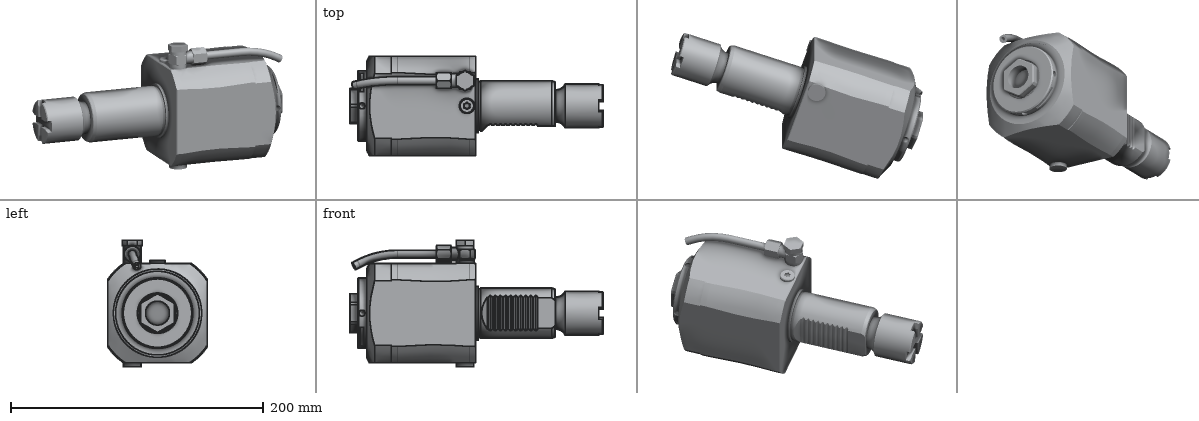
import cadquery as cq
import math


block_half = 39.5
block_front = -86.6
block_rear_chamfer = 0.6
nose_face_radius = 35.0
nose_recess_radius = 33.2
nose_recess_depth = 0.3
nose_cone_end = -80.3
front_band_radius = 47.0
front_band_end = -67.0
corner_radius = 47.5
waist_start = -62.2
waist_end = -5.4
waist_radius = 46.8

collar_front = -93.7
collar_radius = 28.0
collar_chamfer = 0.9
collar_middle = -90.2
pin_hole_diameter = 4.8
pin_hole_depth = 1.5
pin_hole_tip = 2.4
collar_flat_distance = 26.0
collar_flat_width = 2.6

shank_radius = 20.0
shank_length = 63.0
shank_chamfer_length = 3.0
shank_chamfer_depth = 0.9
shank_edge_chamfer = 0.5
seat_ring_radius = 21.5
seat_ring_length = 1.9
undercut_radius = 19.5
undercut_end = 3.9
rack_flat_distance = 16.0
rack_crest_distance = 15.5
rack_ramp_start = 4.7
rack_end = 49.0
groove_count = 10
groove_pitch = 4.0
groove_first = 11.5
groove_depth = 1.3
groove_half_width = 1.5

spindle_front = -100.0
hex_across_flats = 28.0
hex_chamfer = 0.6
hex_corner_diameter = 31.0
shoulder_recess = 0.5
shoulder_length = 1.0
journal_radius = 16.0
socket_diameter = 19.0
socket_depth = 10.0
shaft_radius = 12.8
flare_start = 63.6
coupling_start = 70.9
coupling_radius = 17.5
coupling_end = 101.0
coupling_chamfer = 0.7
slot_width = 6.5
slot_mouth_width = 10.0
slot_flare_radius = 12.0
slot_depth = 3.5

fitting_x = -8.6
fitting_y = 20.0
fitting_diameter = 14.0
fitting_across_flats = 14.0
bolt_head_bottom = 53.4
bolt_head_top = 57.9
pipe_z = 46.8
banjo_hex_height = 7.6
banjo_chamfer = 0.7
outlet_diameter = 10.6
nut_rear = -19.6
nut_front = -31.3
nut_across_flats = 12.4
nut_chamfer = 0.8
pipe_diameter = 6.3
pipe_bend_start = -62.2
pipe_bend_radius = 62.0
pipe_bend_angle = 30.0
pipe_tip_length = 4.0
pipe_tip_bore = 3.0
pipe_tilt = 21.7
plug_height = 3.0
screw_x = -7.1
screw_diameter = 12.0
screw_height = 2.5
screw_chamfer = 0.6
screw_socket_diameter = 4.2
screw_lobe_diameter = 1.3
screw_socket_depth = 1.8


def hex_corners(across_flats):
    """Diameter of the circle through the corners of a hexagon."""
    return across_flats / math.cos(math.pi / 6)


def chamfered_hexagon(plane, turn, across_flats, length, chamfer):
    """Hexagon bar on the given plane, turned by an angle, with its corners turned off at both ends."""
    corners = hex_corners(across_flats)
    hexagon = plane.transformed(rotate=(0, 0, turn)).polygon(6, corners).extrude(length)
    turned = plane.circle(corners / 2).extrude(length).edges("%CIRCLE").chamfer(chamfer)
    return hexagon.intersect(turned)


def cylinder_x(radius, start, end):
    return cq.Workplane("YZ", origin=(start, 0, 0)).circle(radius).extrude(end - start)


def revolve_x(profile):
    return profile.close().revolve(360, (0, 0, 0), (1, 0, 0))


def make_block():
    """Square block whose corners are turned to a slightly waisted body of revolution."""
    turned = revolve_x(
        cq.Workplane("XY")
        .moveTo(block_front, 0)
        .lineTo(block_front, nose_face_radius)
        .lineTo(nose_cone_end, front_band_radius)
        .lineTo(front_band_end, front_band_radius)
        .lineTo(front_band_end, corner_radius)
        .lineTo(waist_start, corner_radius)
        .threePointArc(((waist_start + waist_end) / 2, waist_radius), (waist_end, corner_radius))
        .lineTo(0, corner_radius)
        .lineTo(0, 0)
    )
    square = (
        cq.Workplane("YZ", origin=(block_front, 0, 0))
        .rect(2 * block_half, 2 * block_half)
        .extrude(-block_front)
        .faces(">X")
        .chamfer(block_rear_chamfer)
    )
    recess = cylinder_x(nose_recess_radius, block_front, block_front + nose_recess_depth)
    return turned.intersect(square).cut(recess)


def make_collar():
    """Ring at the nose with four pin holes and two opposite spanner flats."""
    collar = cylinder_x(collar_radius, collar_front, block_front + nose_recess_depth)
    collar = collar.faces("<X").edges().chamfer(collar_chamfer)
    hole_radius = pin_hole_diameter / 2
    hole = (
        cq.Workplane("XZ")
        .moveTo(0, collar_radius - pin_hole_depth - pin_hole_tip)
        .lineTo(hole_radius, collar_radius - pin_hole_depth)
        .lineTo(hole_radius, collar_radius + pin_hole_depth)
        .lineTo(0, collar_radius + pin_hole_depth)
        .close()
        .revolve(360, (0, 0, 0), (0, 1, 0))
        .translate((collar_middle, 0, 0))
    )
    for turn in range(4):
        collar = collar.cut(hole.rotate((0, 0, 0), (1, 0, 0), 90 * turn))
    flat = cq.Workplane("XY", origin=(collar_middle, 0, collar_flat_distance)).box(
        collar_flat_width, 2 * collar_radius, collar_radius, centered=(True, True, False)
    )
    for angle in (-45, 135):
        collar = collar.cut(flat.rotate((0, 0, 0), (1, 0, 0), angle))
    return collar


def make_shank():
    """Round shank with a seating ring, an undercut and a toothed clamping flat on the -Y side."""
    tip_radius = shank_radius - shank_chamfer_depth
    shank = revolve_x(
        cq.Workplane("XY")
        .moveTo(0, 0)
        .lineTo(0, seat_ring_radius)
        .lineTo(seat_ring_length, seat_ring_radius)
        .lineTo(seat_ring_length, undercut_radius)
        .lineTo(undercut_end, undercut_radius)
        .lineTo(undercut_end, shank_radius)
        .lineTo(shank_length - shank_chamfer_length, shank_radius)
        .lineTo(shank_length - shank_edge_chamfer, tip_radius)
        .lineTo(shank_length, tip_radius - shank_edge_chamfer)
        .lineTo(shank_length, 0)
    )
    ramp_end = rack_ramp_start + shank_radius - rack_crest_distance
    flat = (
        cq.Workplane("XY", origin=(0, 0, -shank_radius))
        .moveTo(rack_ramp_start, -shank_radius)
        .lineTo(ramp_end, -rack_crest_distance)
        .lineTo(rack_end, -rack_crest_distance)
        .lineTo(rack_end, -rack_flat_distance)
        .lineTo(shank_length, -rack_flat_distance)
        .lineTo(shank_length, -shank_radius)
        .close()
        .extrude(2 * shank_radius)
    )
    shank = shank.cut(flat)
    for index in range(groove_count):
        middle = groove_first + groove_pitch * index
        groove = (
            cq.Workplane("XY", origin=(middle, -rack_crest_distance, -shank_radius))
            .moveTo(-groove_half_width, 0)
            .lineTo(0, groove_depth)
            .lineTo(groove_half_width, 0)
            .close()
            .extrude(2 * shank_radius)
        )
        shank = shank.cut(groove)
    return shank


def make_coolant_fitting():
    """Banjo body with its hexagon bolt, standing on the block, and its outlet toward -X."""
    post = (
        cq.Workplane("XY", origin=(fitting_x, fitting_y, block_half))
        .circle(fitting_diameter / 2)
        .extrude(bolt_head_bottom - block_half)
    )
    head = (
        cq.Workplane("XY", origin=(fitting_x, fitting_y, bolt_head_bottom))
        .transformed(rotate=(0, 0, 90))
        .polygon(6, hex_corners(fitting_across_flats))
        .extrude(bolt_head_top - bolt_head_bottom)
    )
    banjo_plane = cq.Workplane("XY", origin=(fitting_x, fitting_y, pipe_z - banjo_hex_height / 2))
    banjo = chamfered_hexagon(banjo_plane, 0, fitting_across_flats, banjo_hex_height, banjo_chamfer)
    outlet = (
        cq.Workplane("YZ", origin=(nut_rear, fitting_y, pipe_z))
        .circle(outlet_diameter / 2)
        .extrude(fitting_x - nut_rear)
    )
    return post.union(head).union(banjo).union(outlet)


def make_pipe_nut():
    """Hexagon nut with its corners turned off at both ends."""
    plane = cq.Workplane("YZ", origin=(nut_front, fitting_y, pipe_z))
    return chamfered_hexagon(plane, 90, nut_across_flats, nut_rear - nut_front, nut_chamfer)


def make_pipe():
    """Coolant pipe: straight, then bent down and sideways, with a short straight bored tip."""
    angle = math.radians(pipe_bend_angle)
    bend_x = -pipe_bend_radius * math.sin(angle)
    bend_z = -pipe_bend_radius * (1 - math.cos(angle))
    half = angle / 2
    bend_middle = (-pipe_bend_radius * math.sin(half), -pipe_bend_radius * (1 - math.cos(half)))
    tip = (bend_x - pipe_tip_length * math.cos(angle), bend_z - pipe_tip_length * math.sin(angle))
    straight_length = nut_front - pipe_bend_start
    path = (
        cq.Workplane("XZ")
        .moveTo(straight_length, 0)
        .lineTo(0, 0)
        .threePointArc(bend_middle, (bend_x, bend_z))
        .lineTo(*tip)
    )
    pipe = (
        cq.Workplane("YZ", origin=(straight_length, 0, 0)).circle(pipe_diameter / 2).sweep(path)
    )
    tip_direction = cq.Vector(-math.cos(angle), 0, -math.sin(angle))
    bore = cq.Solid.makeCylinder(
        pipe_tip_bore / 2, pipe_tip_length, cq.Vector(bend_x, 0, bend_z), tip_direction
    )
    pipe = pipe.cut(cq.Workplane(bore))
    pipe = pipe.rotate((0, 0, 0), (1, 0, 0), -pipe_tilt)
    return pipe.translate((pipe_bend_start, fitting_y, pipe_z))


def make_plug():
    """Round plug under the block, opposite the coolant fitting."""
    return (
        cq.Workplane("XY", origin=(fitting_x, fitting_y, -block_half - plug_height))
        .circle(fitting_diameter / 2)
        .extrude(plug_height)
    )


def make_screw():
    """Low round screw head on top of the block with a six-lobed socket."""
    head = (
        cq.Workplane("XY", origin=(screw_x, 0, block_half))
        .circle(screw_diameter / 2)
        .extrude(screw_height)
        .faces(">Z")
        .chamfer(screw_chamfer)
    )
    floor = cq.Workplane("XY", origin=(screw_x, 0, block_half + screw_height - screw_socket_depth))
    socket = floor.circle(screw_socket_diameter / 2).extrude(screw_socket_depth)
    lobes = (
        floor.polarArray(screw_socket_diameter / 2, 30, 360, 6)
        .circle(screw_lobe_diameter / 2)
        .extrude(screw_socket_depth)
    )
    return head.cut(socket.union(lobes))


def make_holder():
    """All the static parts as one solid, bored for the spindle."""
    holder = make_block().union(make_collar()).union(make_shank())
    holder = holder.cut(cylinder_x(journal_radius, collar_front, block_front))
    holder = holder.cut(cylinder_x(shaft_radius, block_front, shank_length))
    for add_on in (make_coolant_fitting(), make_pipe_nut(), make_pipe(), make_plug(), make_screw()):
        holder = holder.union(add_on)
    return holder


def make_spindle():
    """Shaft with a hexagon nose and socket in front and a slotted coupling at the rear."""
    shoulder_front = collar_front + shoulder_recess
    journal_front = shoulder_front + shoulder_length
    shoulder_radius = hex_corner_diameter / 2
    nose_plane = cq.Workplane("YZ", origin=(spindle_front, 0, 0))
    nose_length = shoulder_front - spindle_front
    nose = nose_plane.transformed(rotate=(0, 0, 90)).polygon(6, hex_corners(hex_across_flats))
    nose = nose.extrude(nose_length).faces("<X").chamfer(hex_chamfer)
    nose = nose.intersect(nose_plane.circle(shoulder_radius).extrude(nose_length))

    flare_length = coupling_start - flare_start
    flare_rise = coupling_radius - shaft_radius
    flare_radius = (flare_length**2 + flare_rise**2) / (2 * flare_rise)
    flare_half_angle = math.atan2(flare_rise, flare_length)
    flare_middle = (
        flare_start + flare_radius * math.sin(flare_half_angle),
        shaft_radius + flare_radius * (1 - math.cos(flare_half_angle)),
    )
    shaft = revolve_x(
        cq.Workplane("XY")
        .moveTo(shoulder_front, 0)
        .lineTo(shoulder_front, shoulder_radius)
        .lineTo(journal_front, shoulder_radius)
        .lineTo(journal_front, journal_radius)
        .lineTo(block_front, journal_radius)
        .lineTo(block_front, shaft_radius)
        .lineTo(flare_start, shaft_radius)
        .threePointArc(flare_middle, (coupling_start, coupling_radius))
        .lineTo(coupling_end - coupling_chamfer, coupling_radius)
        .lineTo(coupling_end, coupling_radius - coupling_chamfer)
        .lineTo(coupling_end, 0)
    )
    spindle = shaft.union(nose)
    spindle = spindle.cut(cylinder_x(socket_diameter / 2, spindle_front, spindle_front + socket_depth))
    slot = (
        cq.Workplane("YZ", origin=(coupling_end - slot_depth, 0, 0))
        .moveTo(0, -slot_width / 2)
        .lineTo(slot_flare_radius, -slot_width / 2)
        .lineTo(coupling_radius, -slot_mouth_width / 2)
        .lineTo(coupling_radius, slot_mouth_width / 2)
        .lineTo(slot_flare_radius, slot_width / 2)
        .lineTo(0, slot_width / 2)
        .close()
        .extrude(slot_depth)
    )
    for turn in range(4):
        spindle = spindle.cut(slot.rotate((0, 0, 0), (1, 0, 0), 90 * turn))
    return spindle


holder = make_holder()
spindle = make_spindle()

result = cq.Compound.makeCompound([holder.solids().val(), spindle.solids().val()])